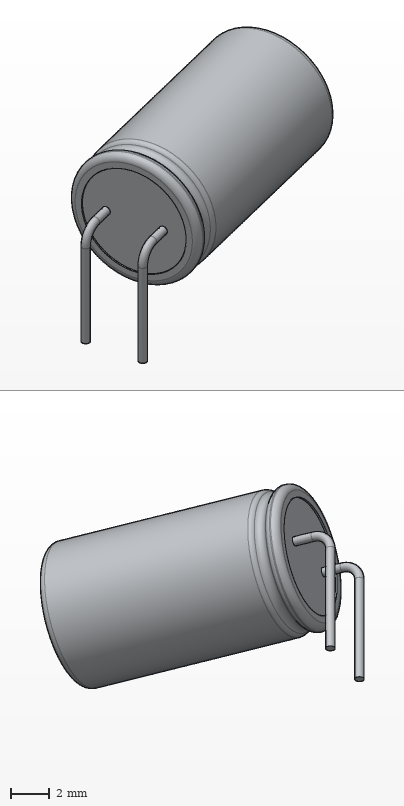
import cadquery as cq
import math

overall_length = 16.25
can_diameter = 8.0
end_fillet = 0.4

groove_setback = 1.1
groove_width = 1.27
groove_depth = 0.34
groove_floor_share = 0.52

seal_diameter = 6.4
seal_depth = 0.1

lead_diameter = 0.5
lead_pitch = 3.5
lead_straight = 0.99
lead_bend_radius = 2 * lead_diameter
lead_drop = 7.1

can_radius = can_diameter / 2
lead_reach = lead_straight + lead_bend_radius + lead_diameter / 2
can_length = overall_length - lead_reach


def make_can():
    """Can with rounded ends."""
    can = cq.Workplane("XZ").circle(can_radius).extrude(-can_length)
    return can.edges().fillet(end_fillet)


def make_groove_cutter():
    """Ring swept by the S-shaped groove section; floor and shoulder arcs meet tangentially."""
    half_width = groove_width / 2
    sweep = 2 * math.atan(groove_depth / half_width)
    radius_sum = half_width / math.sin(sweep)
    floor_radius = groove_floor_share * radius_sum
    shoulder_radius = radius_sum - floor_radius
    floor_half = floor_radius * math.sin(sweep)
    bottom = can_radius - groove_depth
    tangent_radius = bottom + floor_radius * (1 - math.cos(sweep))
    shoulder_shift = half_width - shoulder_radius * math.sin(sweep / 2)
    shoulder_mid = can_radius - shoulder_radius * (1 - math.cos(sweep / 2))
    front_tangent = (tangent_radius, groove_setback - floor_half)
    back_tangent = (tangent_radius, groove_setback + floor_half)
    front_edge = (can_radius, groove_setback - half_width)
    back_edge = (can_radius, groove_setback + half_width)
    section = (
        cq.Workplane("XY")
        .moveTo(*front_edge)
        .threePointArc((shoulder_mid, groove_setback - shoulder_shift), front_tangent)
        .threePointArc((bottom, groove_setback), back_tangent)
        .threePointArc((shoulder_mid, groove_setback + shoulder_shift), back_edge)
        .close()
    )
    return section.revolve(360, (0, 0, 0), (0, 1, 0))


def make_seal_recess():
    """Disc removed from the sealed end."""
    return cq.Workplane("XZ").circle(seal_diameter / 2).extrude(-seal_depth)


def make_lead(x):
    """Round wire from the recess floor, through one quarter bend, down to its cut end."""
    bend_start = -lead_straight
    bend_offset = lead_bend_radius * math.sin(math.pi / 4)
    bend_middle = (bend_start - bend_offset, bend_offset - lead_bend_radius)
    bend_end = (bend_start - lead_bend_radius, -lead_bend_radius)
    path = (
        cq.Workplane("YZ", origin=(x, 0, 0))
        .moveTo(seal_depth, 0)
        .lineTo(bend_start, 0)
        .threePointArc(bend_middle, bend_end)
        .lineTo(bend_end[0], -lead_drop)
    )
    section = cq.Workplane("XZ", origin=(x, seal_depth, 0)).circle(lead_diameter / 2)
    return section.sweep(path)


result = make_can().cut(make_groove_cutter()).cut(make_seal_recess())
for lead_x in (-lead_pitch / 2, lead_pitch / 2):
    result = result.union(make_lead(lead_x))